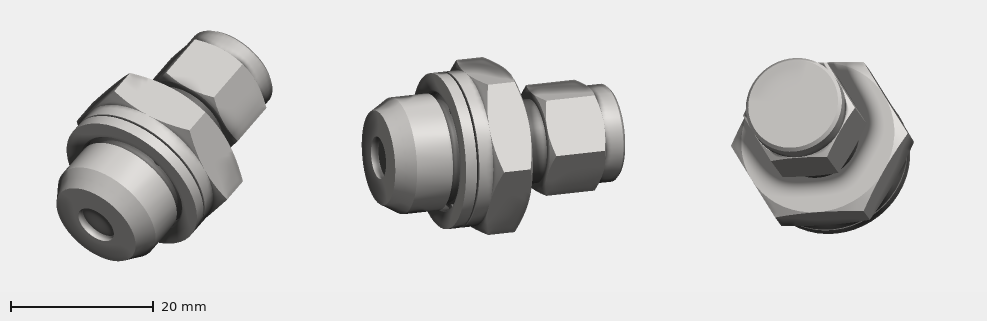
import cadquery as cq
import math

LENGTH = 34.5
NOSE_Y = -LENGTH / 2

CONE_END = 2.7
STUD_END = 8.05
WASHER_FRONT = 8.97
WASHER_THICKNESS = 1.65
COLLAR_FRONT = 10.97
HEX_START = 13.05
HEX_END = 18.98
NUT_START = 22.98
NUT_END = 31.45

NOSE_RADIUS = 6.7
STUD_RADIUS = 8.25
UNDERCUT_RADIUS = 7.28
UNDERCUT_FILLET = 0.6
RUNOUT_ANGLE = 65.0
BOSS_RADIUS = 8.55
HEX_FLATS = 22.0
NECK_RADIUS = 5.95
NUT_FLATS = 13.95
CAP_RADIUS = 6.9
CAP_CHAMFER = 0.45
BORE_RADIUS = 3.0
BORE_DEPTH = 1.15
HEX_CHAMFER_ANGLE = 30.0

WASHER_RADIUS = HEX_FLATS / 2
WASHER_HOLE_RADIUS = 8.28
WASHER_CHAMFER = 0.28
TAB_COUNT = 3
TAB_RADIUS = 0.75
TAB_CENTRE_RADIUS = 8.5
TAB_THICKNESS = 0.28
FIRST_TAB_ANGLE = 60.0


def disc(radius, start, end):
    """Cylinder on the axis between two stations."""
    plane = cq.Workplane("XZ", origin=(0, NOSE_Y + start, 0))
    return plane.circle(radius).extrude(start - end)


def revolve_about_axis(profile):
    return profile.close().revolve(360, (0, 0, 0), (0, 1, 0))


def chamfered_hex(flats, start, end):
    """Hexagon with corners on X, both ends turned down to a circle that touches its flats."""
    corner_radius = flats / math.sqrt(3)
    inner = flats / 2
    drop = (corner_radius - inner) * math.tan(math.radians(HEX_CHAMFER_ANGLE))
    plane = cq.Workplane("XZ", origin=(0, NOSE_Y + start, 0))
    prism = plane.polygon(6, 2 * corner_radius).extrude(start - end)
    envelope = revolve_about_axis(
        cq.Workplane("XY", origin=(0, NOSE_Y, 0))
        .moveTo(0, start)
        .lineTo(inner, start)
        .lineTo(corner_radius, start + drop)
        .lineTo(corner_radius, end - drop)
        .lineTo(inner, end)
        .lineTo(0, end)
    )
    return prism.intersect(envelope)


def make_stud():
    """Coned stud with a filleted undercut and a conical boss behind it."""
    slope = math.radians(RUNOUT_ANGLE)
    arc_height = UNDERCUT_FILLET * (1 - math.cos(slope))
    chamfer_height = STUD_RADIUS - UNDERCUT_RADIUS - arc_height
    arc_start = STUD_END + chamfer_height / math.tan(slope)
    arc_end = arc_start + UNDERCUT_FILLET * math.sin(slope)
    arc_middle = (
        UNDERCUT_RADIUS + UNDERCUT_FILLET * (1 - math.cos(slope / 2)),
        arc_end - UNDERCUT_FILLET * math.sin(slope / 2),
    )
    boss_start = COLLAR_FRONT - (BOSS_RADIUS - UNDERCUT_RADIUS)
    return revolve_about_axis(
        cq.Workplane("XY", origin=(0, NOSE_Y, 0))
        .lineTo(NOSE_RADIUS, 0)
        .lineTo(STUD_RADIUS, CONE_END)
        .lineTo(STUD_RADIUS, STUD_END)
        .lineTo(UNDERCUT_RADIUS + arc_height, arc_start)
        .threePointArc(arc_middle, (UNDERCUT_RADIUS, arc_end))
        .lineTo(UNDERCUT_RADIUS, boss_start)
        .lineTo(BOSS_RADIUS, COLLAR_FRONT)
        .lineTo(0, COLLAR_FRONT)
    )


def make_fitting():
    collar = disc(HEX_FLATS / 2, COLLAR_FRONT, HEX_START)
    body_hex = chamfered_hex(HEX_FLATS, HEX_START, HEX_END)
    neck = disc(NECK_RADIUS, HEX_END, NUT_START)
    nut_hex = chamfered_hex(NUT_FLATS, NUT_START, NUT_END)
    cap = disc(CAP_RADIUS, NUT_END, LENGTH).faces(">Y").chamfer(CAP_CHAMFER)
    bore = disc(BORE_RADIUS, 0, BORE_DEPTH)
    solid = make_stud().union(collar).union(body_hex).union(neck).union(nut_hex).union(cap)
    return solid.cut(bore)


def make_washer():
    """Ring chamfered at both ends of its hole, with three round tabs that hold it in the undercut."""
    back = WASHER_FRONT + WASHER_THICKNESS
    tab_front = WASHER_FRONT + WASHER_CHAMFER
    chamfer_radius = WASHER_HOLE_RADIUS + WASHER_CHAMFER
    ring = revolve_about_axis(
        cq.Workplane("XY", origin=(0, NOSE_Y, 0))
        .moveTo(chamfer_radius, WASHER_FRONT)
        .lineTo(WASHER_RADIUS, WASHER_FRONT)
        .lineTo(WASHER_RADIUS, back)
        .lineTo(chamfer_radius, back)
        .lineTo(WASHER_HOLE_RADIUS, back - WASHER_CHAMFER)
        .lineTo(WASHER_HOLE_RADIUS, tab_front)
    )
    for index in range(TAB_COUNT):
        angle = math.radians(FIRST_TAB_ANGLE + index * 360 / TAB_COUNT)
        centre = (TAB_CENTRE_RADIUS * math.cos(angle), 0, TAB_CENTRE_RADIUS * math.sin(angle))
        tab = disc(TAB_RADIUS, tab_front, tab_front + TAB_THICKNESS).translate(centre)
        ring = ring.union(tab)
    return ring


fitting = make_fitting()
washer = make_washer()

result = cq.Compound.makeCompound([fitting.solids().val(), washer.solids().val()])